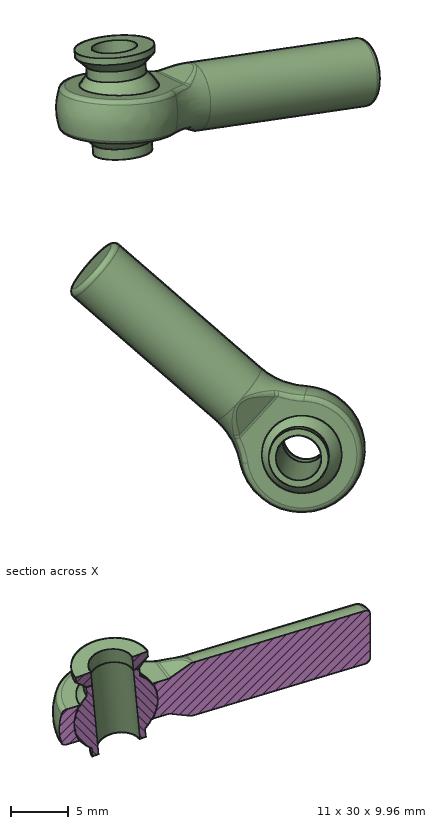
import cadquery as cq
import math

total_length = 30.0
eye_diameter = 11.0
eye_radius = eye_diameter / 2
eye_thickness = 4.0
shank_diameter = 6.0
shank_radius = shank_diameter / 2
shank_end = total_length - eye_radius
shank_end_round = 0.5
flare_start = 7.4
flat_end = 5.13
ramp_angle = 25.0
edge_round = 0.5

ball_diameter = 8.0
ball_radius = ball_diameter / 2
neck_diameter = 5.2
neck_radius = neck_diameter / 2
neck_height = ball_radius
bore_diameter = 3.95
bore_radius = bore_diameter / 2
flange_diameter = 7.0
flange_radius = flange_diameter / 2
flange_rim = 0.6
collar_height = 1.5
tilt_about_x = 4.5
tilt_about_y = -1.0


def make_turned_blank():
    """Shank, concave flare and spherical eye revolved about the Y axis."""
    flare_radius = (shank_radius**2 + flare_start**2 - eye_radius**2) / (2 * (eye_radius - shank_radius))
    flare_x = shank_radius + flare_radius
    junction_angle = math.atan2(flare_start, flare_x)
    junction = (eye_radius * math.cos(junction_angle), eye_radius * math.sin(junction_angle))
    half_angle = junction_angle / 2
    flare_middle = (
        flare_x - flare_radius * math.cos(half_angle),
        flare_start - flare_radius * math.sin(half_angle),
    )
    profile = (
        cq.Workplane("XY")
        .moveTo(0, -eye_radius)
        .threePointArc((eye_radius, 0), junction)
        .threePointArc(flare_middle, (shank_radius, flare_start))
        .lineTo(shank_radius, shank_end)
        .lineTo(0, shank_end)
        .close()
    )
    blank = profile.revolve(360, (0, 0, 0), (0, 1, 0))
    return blank.faces(">Y").edges().fillet(shank_end_round)


def make_flat_cutter():
    """Material to remove above the eye: a flat, then a ramp up to the shank."""
    reach = 2 * eye_radius
    flat_height = eye_thickness / 2
    ramp_run = (reach - flat_height) / math.tan(math.radians(ramp_angle))
    return (
        cq.Workplane("YZ")
        .polyline([
            (-reach, flat_height),
            (flat_end, flat_height),
            (flat_end + ramp_run, reach),
            (-reach, reach),
        ])
        .close()
        .extrude(reach, both=True)
        .edges(cq.selectors.NearestToPointSelector((0, flat_end, flat_height)))
        .fillet(edge_round)
    )


def make_rod_end():
    """Rod body with flats on both sides of the eye and a spherical socket."""
    upper_cutter = make_flat_cutter()
    rod = make_turned_blank().cut(upper_cutter).cut(upper_cutter.mirror("XY"))
    for side in (1, -1):
        outline_zone = cq.selectors.BoxSelector(
            (-eye_radius, -eye_radius, side * eye_thickness / 4),
            (eye_radius, flare_start, side * shank_radius),
        )
        rod = rod.edges("not |X").edges(outline_zone).fillet(edge_round)
    return rod.cut(cq.Workplane("XY").sphere(ball_radius))


def tilt(body):
    """Swing a body with the ball about the centre of the eye."""
    origin = (0, 0, 0)
    return body.rotate(origin, (1, 0, 0), tilt_about_x).rotate(origin, (0, 1, 0), tilt_about_y)


def make_ball():
    """Bored ball with a neck at each end."""
    necks = cq.Workplane("XY").cylinder(2 * neck_height, neck_radius)
    bore = cq.Workplane("XY").cylinder(2 * ball_diameter, bore_radius)
    return tilt(cq.Workplane("XY").sphere(ball_radius).union(necks).cut(bore))


def make_collar():
    """Flanged ring, coned down to the neck that it rests on."""
    top = neck_height + collar_height
    profile = cq.Workplane("XZ").polyline([
        (bore_radius, neck_height),
        (neck_radius, neck_height),
        (flange_radius, top - flange_rim),
        (flange_radius, top),
        (bore_radius, top),
    ]).close()
    return tilt(profile.revolve(360, (0, 0, 0), (0, 1, 0)))


rod_end = make_rod_end()
ball = make_ball()
collar = make_collar()
result = cq.Compound.makeCompound([rod_end.solids().val(), ball.solids().val(), collar.val()])